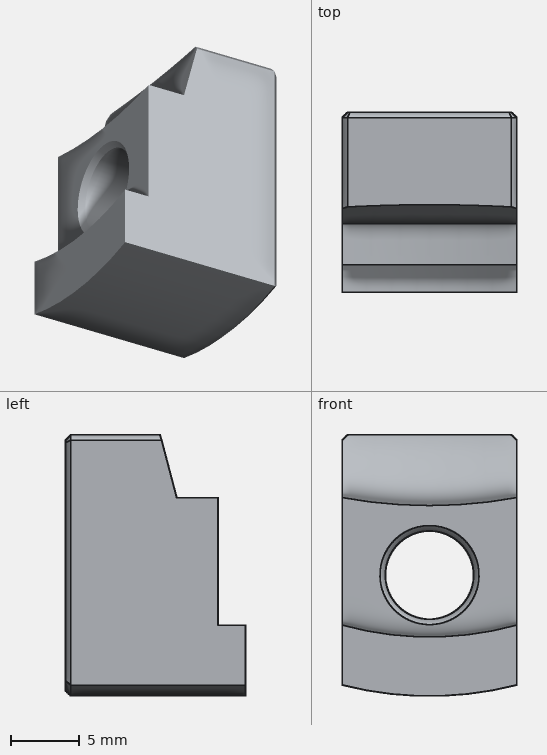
import cadquery as cq
import math

width = 12.7
depth = 13.1
height = 19.0
half_width = width / 2

foot_radius = 25.4
foot_ledge_radius = 23.6
foot_ledge_z = 4.3
recess_depth = 2.0

upper_ledge_radius = 35.0
upper_ledge_z = 13.85
upper_ledge_depth = 5.0
cone_slope_angle = 15.0

chamfer = 0.4

hole_diameter = 6.4
countersink_diameter = 7.2
hole_z = 8.8


def arched_body():
    """Block with a flat top and an arc-shaped underside, extruded along Y."""
    side_z = foot_radius - math.sqrt(foot_radius**2 - half_width**2)
    return (
        cq.Workplane("XZ")
        .moveTo(-half_width, height)
        .lineTo(-half_width, side_z)
        .threePointArc((0, 0), (half_width, side_z))
        .lineTo(half_width, height)
        .close()
        .extrude(-depth)
    )


def chamfer_edges(body):
    """Chamfer the top side edges and the whole outline of the back face."""
    top_sides = body.edges("|Y and >Z").chamfer(chamfer)
    return top_sides.faces(">Y").edges().chamfer(chamfer)


def ledge_cutter(radius, lowest_z, cut_depth):
    """Cylinder along Y that leaves a concave ledge reaching back to cut_depth."""
    return (
        cq.Workplane("XZ")
        .center(0, lowest_z + radius)
        .circle(radius)
        .extrude(-cut_depth)
    )


def cone_cutter():
    """Cone that continues the upper ledge cylinder and tapers toward the back."""
    length = upper_ledge_radius * math.tan(math.radians(cone_slope_angle))
    axis_start = cq.Vector(0, upper_ledge_depth, upper_ledge_z + upper_ledge_radius)
    cone = cq.Solid.makeCone(upper_ledge_radius, 0, length, axis_start, cq.Vector(0, 1, 0))
    return cq.Workplane(obj=cone)


def hole_cutter():
    """Through hole along Y with a 45 degree countersink at the recessed face."""
    hole_radius = hole_diameter / 2
    countersink_radius = countersink_diameter / 2
    countersink_depth = countersink_radius - hole_radius
    direction = cq.Vector(0, 1, 0)
    start = cq.Vector(0, recess_depth, hole_z)
    bore = cq.Solid.makeCylinder(hole_radius, depth, start, direction)
    countersink = cq.Solid.makeCone(countersink_radius, hole_radius, countersink_depth, start, direction)
    return cq.Workplane(obj=bore).union(cq.Workplane(obj=countersink))


result = (
    chamfer_edges(arched_body())
    .cut(ledge_cutter(foot_ledge_radius, foot_ledge_z, recess_depth))
    .cut(ledge_cutter(upper_ledge_radius, upper_ledge_z, upper_ledge_depth))
    .cut(cone_cutter())
    .cut(hole_cutter())
)